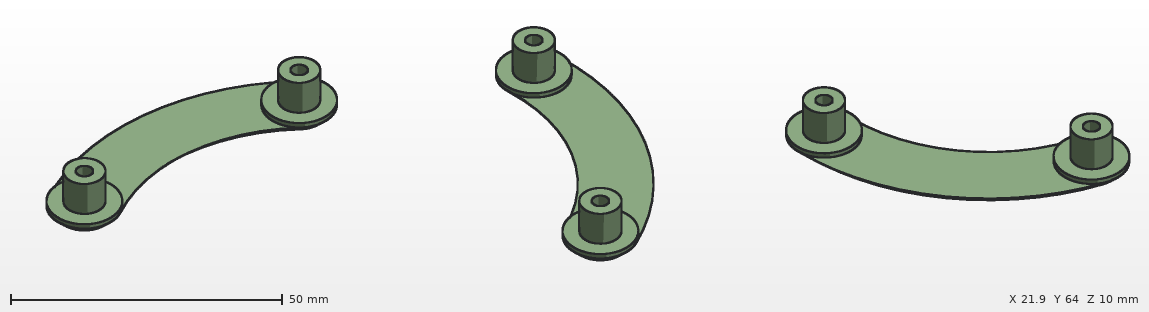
import cadquery as cq
import math

length = 63.95
width_x = 21.9
total_height = 10.0
disc_diameter = 14.0
pin_diameter = 7.8
hole_diameter = 3.2
plate_thickness = 2.0
disc_thickness = 1.0
bevel_angle = 45.0

end_radius = disc_diameter / 2
pin_height = total_height - plate_thickness - disc_thickness
hole_depth = pin_height
half_spacing = (length - disc_diameter) / 2
arc_rise = width_x - disc_diameter
arc_radius = (half_spacing**2 + arc_rise**2) / (2 * arc_rise)
arc_center_x = arc_radius - arc_rise
half_angle = math.asin(half_spacing / arc_radius)
pin_centers = [(0, -half_spacing), (0, half_spacing)]


def arc_point(radius, angle):
    """Point at an angle from -X around the centre of the band's arc."""
    return (arc_center_x - radius * math.cos(angle), radius * math.sin(angle))


def curved_plate():
    """Rounded-end arc band whose whole edge bevels inward toward the bottom."""
    outer = arc_radius + end_radius
    inner = arc_radius - end_radius
    end_tip_x = end_radius * math.sin(half_angle)
    end_tip_y = half_spacing + end_radius * math.cos(half_angle)
    return (
        cq.Workplane("XY", origin=(0, 0, plate_thickness))
        .moveTo(*arc_point(outer, -half_angle))
        .threePointArc(arc_point(outer, 0), arc_point(outer, half_angle))
        .threePointArc((end_tip_x, end_tip_y), arc_point(inner, half_angle))
        .threePointArc(arc_point(inner, 0), arc_point(inner, -half_angle))
        .threePointArc((end_tip_x, -end_tip_y), arc_point(outer, -half_angle))
        .close()
        .extrude(-plate_thickness, taper=bevel_angle)
    )


def end_cylinders(base_z, diameter, height):
    """Matching upright cylinders at both ends of the band."""
    return (
        cq.Workplane("XY", origin=(0, 0, base_z))
        .pushPoints(pin_centers)
        .circle(diameter / 2)
        .extrude(height)
    )


discs = end_cylinders(plate_thickness, disc_diameter, disc_thickness)
pins = end_cylinders(plate_thickness + disc_thickness, pin_diameter, pin_height)
holes = end_cylinders(total_height - hole_depth, hole_diameter, hole_depth)

result = curved_plate().union(discs).union(pins).cut(holes)